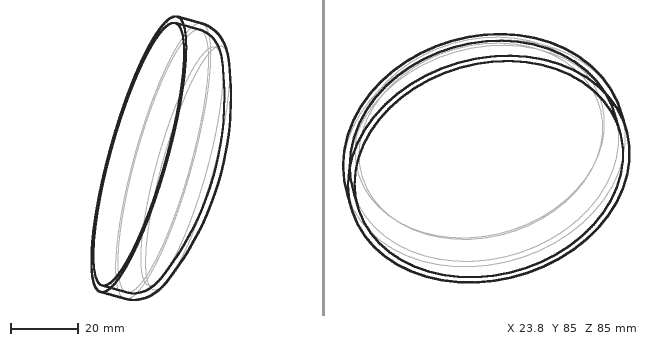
import cadquery as cq
import math

outer_diameter = 85.0
inner_diameter = 81.0
total_height = 23.8
knuckle_radius = 8.5
crown_radius = 88.4

outer_radius = outer_diameter / 2
wall = (outer_diameter - inner_diameter) / 2

knuckle_center_r = outer_radius - knuckle_radius
junction_angle = math.asin(knuckle_center_r / (crown_radius - knuckle_radius))
crown_center_x = total_height - crown_radius
skirt_length = crown_center_x + (crown_radius - knuckle_radius) * math.cos(junction_angle)


def dished_solid(offset):
    """Solid of revolution about X whose surface lies inside the outer one by offset."""
    crown = crown_radius - offset
    knuckle = knuckle_radius - offset
    knuckle_mid_angle = (junction_angle + math.pi / 2) / 2

    def on_crown(angle):
        return (crown_center_x + crown * math.cos(angle), crown * math.sin(angle))

    def on_knuckle(angle):
        return (
            skirt_length + knuckle * math.cos(angle),
            knuckle_center_r + knuckle * math.sin(angle),
        )

    return (
        cq.Workplane("XY")
        .lineTo(0, outer_radius - offset)
        .lineTo(skirt_length, outer_radius - offset)
        .threePointArc(on_knuckle(knuckle_mid_angle), on_knuckle(junction_angle))
        .threePointArc(on_crown(junction_angle / 2), on_crown(0))
        .close()
        .revolve(360, (0, 0, 0), (1, 0, 0))
    )


result = dished_solid(0).cut(dished_solid(wall))